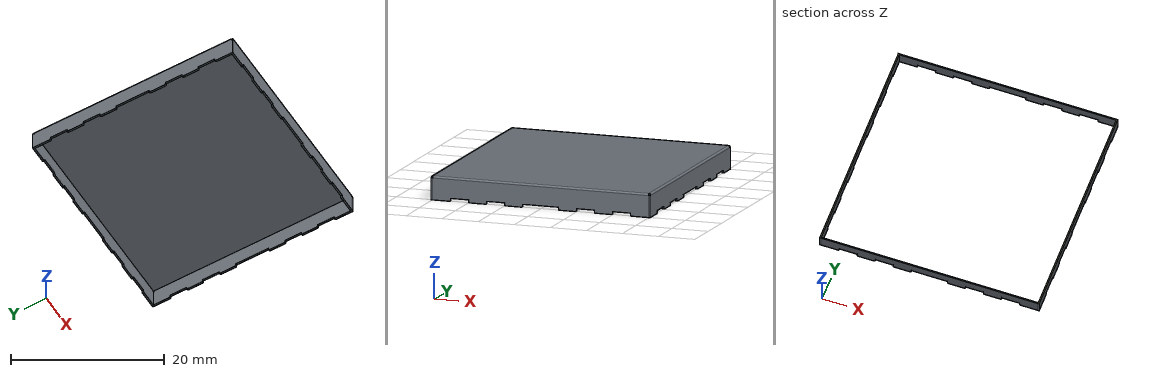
import cadquery as cq

side = 30.4
height = 3.2
sheet = 0.25
module = 2.5
notch_depth = 0.4
tooth_radius = 0.18
outer_notch_modules = (2.5, 4.5)

half_side = side / 2
lid_side = side - 2 * sheet
wall_height = height - sheet

notches = [(0, 2 * module)]
for sign in (-1, 1):
    for modules_out in outer_notch_modules:
        notches.append((sign * modules_out * module, module))


def notch_cutter(centre, width):
    """Notch through a wall lying along X; it flares at its mouth to round the tooth tips."""
    left = centre - width / 2
    right = centre + width / 2
    return (
        cq.Workplane("XZ", origin=(0, -half_side + sheet, 0))
        .moveTo(left - tooth_radius, 0)
        .radiusArc((left, tooth_radius), -tooth_radius)
        .lineTo(left, notch_depth)
        .lineTo(right, notch_depth)
        .lineTo(right, tooth_radius)
        .radiusArc((right + tooth_radius, 0), -tooth_radius)
        .close()
        .extrude(sheet)
    )


def front_side(wall_length):
    """Wall on the -Y side with the bend that joins it to the lid."""
    wall = cq.Workplane("XY").box(wall_length, sheet, wall_height, centered=(True, False, False))
    wall = wall.translate((0, -half_side, 0))
    for centre, width in notches:
        wall = wall.cut(notch_cutter(centre, width))
    bend = (
        cq.Workplane("YZ", origin=(-lid_side / 2, 0, 0))
        .moveTo(-half_side, wall_height)
        .radiusArc((-half_side + sheet, height), sheet)
        .lineTo(-half_side + sheet, wall_height)
        .close()
        .extrude(lid_side)
    )
    return wall.union(bend)


lid = cq.Workplane("XY", origin=(0, 0, wall_height)).box(
    lid_side, lid_side, sheet, centered=(True, True, False)
)

result = lid
for angle, wall_length in ((0, lid_side), (90, side), (180, lid_side), (270, side)):
    wall = front_side(wall_length).rotate((0, 0, 0), (0, 0, 1), angle)
    result = result.union(wall, clean=False)